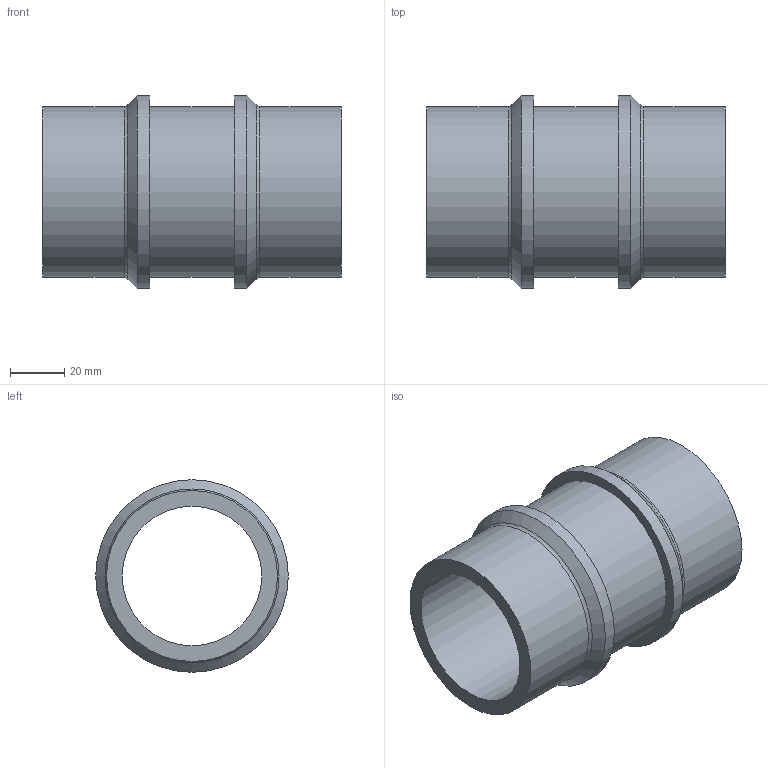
import cadquery as cq
import math

length = 110.0
tube_diameter = 63.0
bore_diameter = 51.4

collar_diameter = 71.0
collar_gap = 31.0
insertion_depth = 30.0
ramp_angle = 45.0
root_fillet = 2.0

tube_radius = tube_diameter / 2
collar_radius = collar_diameter / 2
bore_radius = bore_diameter / 2

slope = math.radians(ramp_angle)
end_x = length / 2
collar_inner_x = collar_gap / 2

tangent_length = root_fillet * math.tan(slope / 2)
blend_end = (end_x - insertion_depth, tube_radius)
ramp_foot_x = blend_end[0] - tangent_length
rim_end_x = ramp_foot_x - (collar_radius - tube_radius) / math.tan(slope)
blend_top = (
    ramp_foot_x - tangent_length * math.cos(slope),
    tube_radius + tangent_length * math.sin(slope),
)
blend_middle = (
    blend_end[0] - root_fillet * math.sin(slope / 2),
    tube_radius + root_fillet * (1 - math.cos(slope / 2)),
)


def mirrored(point):
    """The same point on the -X half."""
    x, radius = point
    return (-x, radius)


def make_coupling():
    """Revolve the wall section, with both collars, about the X axis."""
    section = (
        cq.Workplane("XY")
        .moveTo(-end_x, bore_radius)
        .lineTo(-end_x, tube_radius)
        .lineTo(*mirrored(blend_end))
        .threePointArc(mirrored(blend_middle), mirrored(blend_top))
        .lineTo(-rim_end_x, collar_radius)
        .lineTo(-collar_inner_x, collar_radius)
        .lineTo(-collar_inner_x, tube_radius)
        .lineTo(collar_inner_x, tube_radius)
        .lineTo(collar_inner_x, collar_radius)
        .lineTo(rim_end_x, collar_radius)
        .lineTo(*blend_top)
        .threePointArc(blend_middle, blend_end)
        .lineTo(end_x, tube_radius)
        .lineTo(end_x, bore_radius)
        .close()
    )
    return section.revolve(360, (0, 0, 0), (1, 0, 0))


result = make_coupling()